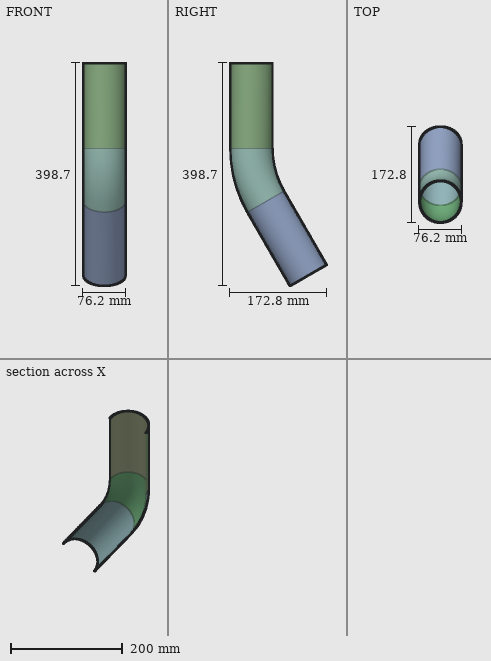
import cadquery as cq
import math

outer_diameter = 76.2
inner_diameter = 73.0
straight_length = 152.4
bend_radius = 2.5 * outer_diameter
bend_angle = 30.0


def arc_point(angle_degrees):
    """Point (y, z) on the elbow centreline, which leaves the origin heading down."""
    angle = math.radians(angle_degrees)
    return bend_radius * (1 - math.cos(angle)), -bend_radius * math.sin(angle)


def make_centreline():
    """Upper leg, elbow and lower leg as one tangent path in the YZ plane."""
    tilt = math.radians(bend_angle)
    bend_end_y, bend_end_z = arc_point(bend_angle)
    lower_end = (
        bend_end_y + straight_length * math.sin(tilt),
        bend_end_z - straight_length * math.cos(tilt),
    )
    return (
        cq.Workplane("YZ")
        .moveTo(0, straight_length)
        .lineTo(0, 0)
        .threePointArc(arc_point(bend_angle / 2), (bend_end_y, bend_end_z))
        .lineTo(*lower_end)
    )


def make_pipe():
    """Ring section swept along the centreline, open at both ends."""
    ring = (
        cq.Workplane("XY", origin=(0, 0, straight_length))
        .circle(outer_diameter / 2)
        .circle(inner_diameter / 2)
    )
    return ring.sweep(make_centreline(), clean=False)


result = make_pipe()